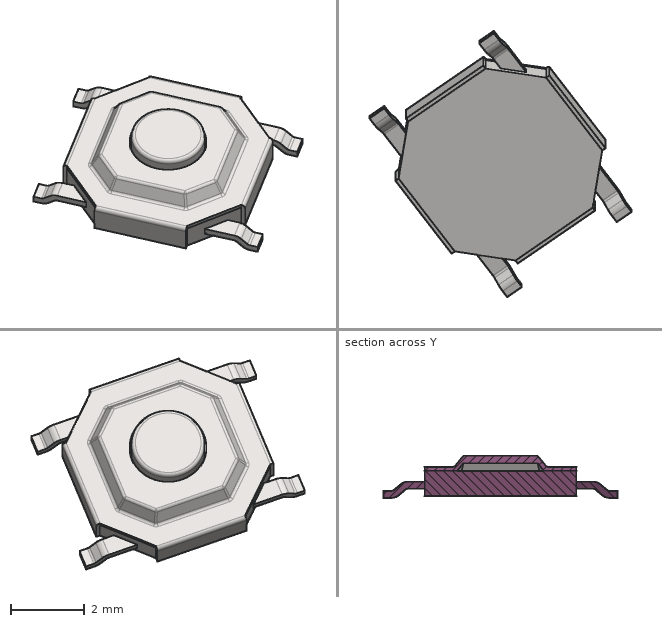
import cadquery as cq
import math


overall_height = 1.55
base_bottom = 0.05
cover_top = 0.85
dome_top = 1.255

overall_width = 5.2
sheet = 0.11
flap_length = 2.61
dome_base_width = 3.79
dome_base_flat = 2.175
dome_draft = 30.0
dome_fillet = 0.1
plunger_hole_diameter = 2.1

base_width = overall_width - 2 * sheet
base_top = cover_top - sheet
plunger_diameter = 2.0
plunger_fillet = 0.1

lead_span = 6.4
lead_width = 0.5
lead_offset = 1.85
lead_thickness = 0.2
lead_rise = 0.25
foot_length = 0.225
bend_angle = math.radians(40)
bend_inner_radius = 0.1


def octagon_prism(width, flat, bottom, height, draft=0.0):
    """Square of the given width with 45 degree corners, extruded up from bottom."""
    a = width / 2
    b = flat / 2
    corners = [(a, -b), (a, b), (b, a), (-b, a), (-a, b), (-a, -b), (-b, -a), (b, -a)]
    outline = cq.Workplane("XY").workplane(offset=bottom).polyline(corners).close()
    return outline.extrude(height, taper=draft)


def cylinder(diameter, bottom, top):
    return cq.Workplane("XY").workplane(offset=bottom).circle(diameter / 2).extrude(top - bottom)


def make_flap():
    """Side flap on +X, rounded where the sheet turns down from the rim."""
    inner = base_width / 2
    return (
        cq.Workplane("XZ", origin=(0, flap_length / 2, 0))
        .moveTo(inner, base_bottom)
        .lineTo(inner + sheet, base_bottom)
        .lineTo(inner + sheet, base_top)
        .radiusArc((inner, cover_top), -sheet)
        .close()
        .extrude(flap_length)
    )


def make_dome_cavity():
    """Inside of the dome: its wall and roof set in by the sheet thickness."""
    draft = math.radians(dome_draft)
    inset = sheet / math.cos(draft) - sheet * math.tan(draft)
    flat = dome_base_flat - 2 * inset * (math.sqrt(2) - 1)
    return octagon_prism(dome_base_width - 2 * inset, flat, base_top, dome_top - cover_top, dome_draft)


def make_rim_and_dome():
    """Flat rim with the dome raised on it, rounded inside and outside its corners."""
    dome = octagon_prism(dome_base_width, dome_base_flat, cover_top, dome_top - cover_top, dome_draft)
    dome = dome.edges("not(<Z)").fillet(dome_fillet)

    blank = cq.Workplane("XY").workplane(offset=base_top).rect(overall_width, overall_width).extrude(sheet)
    reach = dome_base_width / 2 + dome_fillet
    margin = dome_fillet / 4
    foot_of_dome = cq.selectors.BoxSelector(
        (-reach, -reach, cover_top - margin), (reach, reach, cover_top + margin)
    )
    raised = blank.union(dome).edges(foot_of_dome).fillet(dome_fillet)
    return raised.intersect(octagon_prism(base_width, flap_length, base_top, dome_top - base_top))


def make_cover():
    cover = make_rim_and_dome()
    for side in range(4):
        cover = cover.union(make_flap().rotate((0, 0, 0), (0, 0, 1), 90 * side))
    cover = cover.cut(make_dome_cavity())
    return cover.cut(cylinder(plunger_hole_diameter, base_top, overall_height))


def make_base():
    """Octagonal block under the cover, with the plunger standing on it."""
    block = octagon_prism(base_width, flap_length, base_bottom, base_top - base_bottom)
    plunger = cylinder(plunger_diameter, base_top, overall_height)
    plunger = plunger.faces(">Z").edges().fillet(plunger_fillet)
    return block.union(plunger)


def make_lead(base):
    """Lead at +X, +Y: foot, S-bend and shank, ending flush on the base's diagonal side."""
    r = bend_inner_radius
    big_r = r + lead_thickness
    sin_bend = math.sin(bend_angle)
    cos_bend = math.cos(bend_angle)
    ramp_rise = lead_rise - (r + big_r) * (1 - cos_bend)
    ramp_run = ramp_rise / math.tan(bend_angle)

    tip = lead_span / 2
    foot_end = tip - foot_length
    shank_start = foot_end - (r + big_r) * sin_bend - ramp_run
    shank_bottom = lead_rise
    shank_top = lead_rise + lead_thickness

    def low_bend(radius, angle):
        """Point on the bend above the foot, angle measured from the foot."""
        return (foot_end - radius * math.sin(angle), big_r - radius * math.cos(angle))

    def high_bend(radius, angle):
        """Point on the bend below the shank, angle measured from the shank."""
        centre_z = shank_bottom - r
        return (shank_start + radius * math.sin(angle), centre_z + radius * math.cos(angle))

    half = bend_angle / 2
    lead = (
        cq.Workplane("XZ", origin=(0, lead_offset + lead_width / 2, 0))
        .moveTo(tip, 0)
        .lineTo(foot_end, 0)
        .threePointArc(low_bend(big_r, half), low_bend(big_r, bend_angle))
        .lineTo(*high_bend(r, bend_angle))
        .threePointArc(high_bend(r, half), (shank_start, shank_bottom))
        .lineTo(0, shank_bottom)
        .lineTo(0, shank_top)
        .lineTo(shank_start, shank_top)
        .threePointArc(high_bend(big_r, half), high_bend(big_r, bend_angle))
        .lineTo(*low_bend(r, bend_angle))
        .threePointArc(low_bend(r, half), (foot_end, lead_thickness))
        .lineTo(tip, lead_thickness)
        .close()
        .extrude(lead_width)
    )
    return lead.cut(base)


cover = make_cover()
base = make_base()

lead = make_lead(base)
leads = []
for row in (lead, lead.mirror("XZ")):
    for one_lead in (row, row.mirror("YZ")):
        leads.append(one_lead.val())

result = cq.Compound.makeCompound([cover.val(), base.val(), *leads])